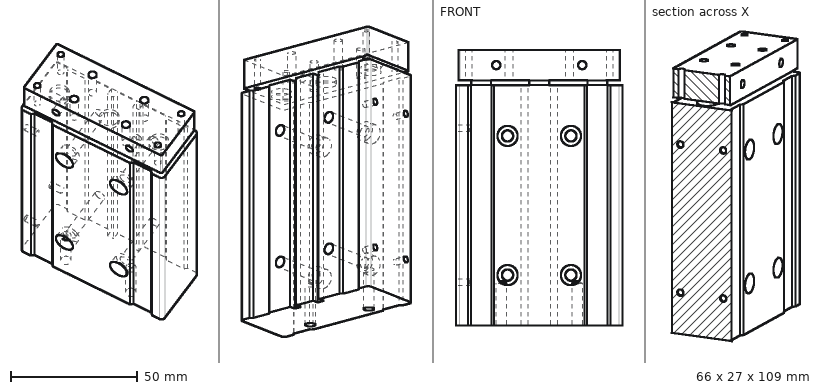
import cadquery as cq
import math

TOTAL_HEIGHT = 109
BODY_WIDTH = 66.0
BODY_DEPTH = 27.0
BODY_HEIGHT = 95.0
BODY_CORNER_RADIUS = 1.5

ROD_SPACING = 23.0
CHANNEL_FLOOR_WIDTH = 8.1
CHANNEL_DEPTH = 1.0
CHANNEL_SIDE_RUN = 1.1

SLOT_OFFSET = 5.9
SLOT_WIDTH = 2.8
SLOT_DEPTH = SLOT_WIDTH

MOUNT_X = 12.5
MOUNT_Z_LOW = 20.0
MOUNT_Z_HIGH = 75.0
MOUNT_DIAMETER = 4.4
COUNTERBORE_DIAMETER = 8.0
COUNTERBORE_DEPTH = 4.8

DRILL_TIP_ANGLE = 118
SIDE_HOLE_DIAMETER = 2.5
SIDE_HOLE_DEPTH = 5.5
SIDE_HOLE_Y = 9.5
SIDE_HOLE_Z_LOW = 17.1
SIDE_HOLE_Z_HIGH = 78.0
BOTTOM_HOLE_DIAMETER = 4.1
BOTTOM_HOLE_DEPTH = 16.6
BOTTOM_HOLE_X = 15.0
BOTTOM_HOLE_Y = -8.3

PLATE_WIDTH = 64.0
PLATE_DEPTH = 25.3
PLATE_HEIGHT = 12.0
PLATE_CORNER_RADIUS = 0.5
ROD_DIAMETER = 8.0
CORNER_HOLE_DIAMETER = 2.5
CORNER_HOLE_X = 27.9
CORNER_HOLE_Y = 8.9
LOAD_HOLE_DIAMETER = 3.3
LOAD_HOLE_X = 12.0
LOAD_HOLE_Y = 7.0
FRONT_HOLE_DIAMETER = 3.3
FRONT_HOLE_DEPTH = 6.5
FRONT_HOLE_X = 17.0

PLATE_BOTTOM_Z = TOTAL_HEIGHT - PLATE_HEIGHT
FRONT_HOLE_Z = PLATE_BOTTOM_Z + PLATE_HEIGHT / 2
FRONT_Y = -BODY_DEPTH / 2
BACK_Y = BODY_DEPTH / 2


def drilled_hole(diameter, depth, start, direction):
    """Cylinder of the given depth with a conical drill tip beyond it."""
    radius = diameter / 2
    tip_length = radius / math.tan(math.radians(DRILL_TIP_ANGLE / 2))
    start = cq.Vector(*start)
    direction = cq.Vector(*direction)
    bore = cq.Solid.makeCylinder(radius, depth, start, direction)
    tip = cq.Solid.makeCone(radius, 0, tip_length, start + direction * depth, direction)
    return bore.fuse(tip)


def channel_cutter(center_x, face_y, inward):
    """Trapezoidal channel along Z, cut from the face at face_y."""
    floor_half = CHANNEL_FLOOR_WIDTH / 2
    mouth_half = floor_half + CHANNEL_SIDE_RUN
    floor_y = face_y + inward * CHANNEL_DEPTH
    outline = [
        (center_x - mouth_half, face_y),
        (center_x - floor_half, floor_y),
        (center_x + floor_half, floor_y),
        (center_x + mouth_half, face_y),
    ]
    return cq.Workplane("XY").polyline(outline).close().extrude(BODY_HEIGHT)


def slot_cutter(center_x):
    """Square slot along Z, cut from the back face."""
    slot = cq.Workplane("XY").rect(SLOT_WIDTH, SLOT_DEPTH).extrude(BODY_HEIGHT)
    return slot.translate((center_x, BACK_Y - SLOT_DEPTH / 2, 0))


def mounting_hole(x, z):
    """Through hole along Y with a counterbore in the front face."""
    start = cq.Vector(x, FRONT_Y, z)
    along_y = cq.Vector(0, 1, 0)
    through = cq.Solid.makeCylinder(MOUNT_DIAMETER / 2, BODY_DEPTH, start, along_y)
    counterbore = cq.Solid.makeCylinder(COUNTERBORE_DIAMETER / 2, COUNTERBORE_DEPTH, start, along_y)
    return through.fuse(counterbore)


def make_housing():
    body = cq.Workplane("XY").rect(BODY_WIDTH, BODY_DEPTH).extrude(BODY_HEIGHT)
    body = body.edges("|Z").fillet(BODY_CORNER_RADIUS)
    for side in (-1, 1):
        body = body.cut(channel_cutter(side * ROD_SPACING, FRONT_Y, 1))
        body = body.cut(channel_cutter(side * ROD_SPACING, BACK_Y, -1))
        body = body.cut(slot_cutter(side * SLOT_OFFSET))
        for z in (MOUNT_Z_LOW, MOUNT_Z_HIGH):
            body = body.cut(cq.Workplane(mounting_hole(side * MOUNT_X, z)))
        bottom_start = (side * BOTTOM_HOLE_X, BOTTOM_HOLE_Y, 0)
        body = body.cut(cq.Workplane(
            drilled_hole(BOTTOM_HOLE_DIAMETER, BOTTOM_HOLE_DEPTH, bottom_start, (0, 0, 1))))
        for z in (SIDE_HOLE_Z_LOW, SIDE_HOLE_Z_HIGH):
            side_start = (-BODY_WIDTH / 2, side * SIDE_HOLE_Y, z)
            body = body.cut(cq.Workplane(
                drilled_hole(SIDE_HOLE_DIAMETER, SIDE_HOLE_DEPTH, side_start, (1, 0, 0))))
    return body


def make_end_plate():
    """Plate carrying three rods, which reach down to the top of the housing."""
    plate = cq.Workplane("XY").workplane(offset=PLATE_BOTTOM_Z).rect(PLATE_WIDTH, PLATE_DEPTH)
    plate = plate.extrude(PLATE_HEIGHT).edges("|Z").fillet(PLATE_CORNER_RADIUS)
    plate = plate.faces(">Z").workplane(origin=(0, 0, TOTAL_HEIGHT))
    plate = plate.rect(2 * CORNER_HOLE_X, 2 * CORNER_HOLE_Y, forConstruction=True).vertices()
    plate = plate.hole(CORNER_HOLE_DIAMETER)
    plate = plate.faces(">Z").workplane(origin=(0, 0, TOTAL_HEIGHT))
    plate = plate.rect(2 * LOAD_HOLE_X, 2 * LOAD_HOLE_Y, forConstruction=True).vertices()
    plate = plate.hole(LOAD_HOLE_DIAMETER)
    for x in (-FRONT_HOLE_X, FRONT_HOLE_X):
        start = (x, -PLATE_DEPTH / 2, FRONT_HOLE_Z)
        hole = drilled_hole(FRONT_HOLE_DIAMETER, FRONT_HOLE_DEPTH, start, (0, 1, 0))
        plate = plate.cut(cq.Workplane(hole))
    rods = cq.Workplane("XY").workplane(offset=BODY_HEIGHT)
    rods = rods.pushPoints([(-ROD_SPACING, 0), (0, 0), (ROD_SPACING, 0)])
    rods = rods.circle(ROD_DIAMETER / 2).extrude(PLATE_BOTTOM_Z - BODY_HEIGHT)
    return plate.union(rods)


housing = make_housing()
end_plate = make_end_plate()
result = cq.Compound.makeCompound([housing.val(), end_plate.val()])